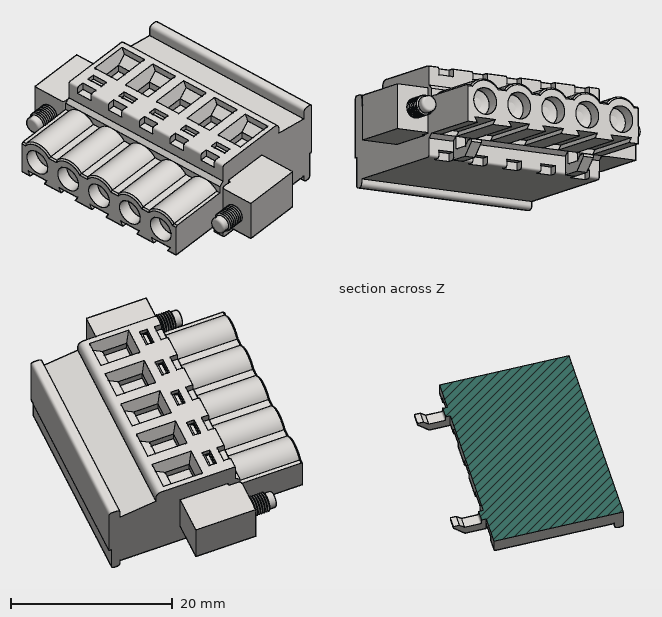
import cadquery as cq


LENGTH = 35.0
DEPTH = 26.0
HEIGHT = 12.6
POLES = 5
BODY_LENGTH = 25.0
PITCH = BODY_LENGTH / POLES
POLE_X = [(i - (POLES - 1) / 2) * PITCH for i in range(POLES)]

PLUG_TOP = 9.6
PLUG_BOTTOM = 3.92
PLUG_DEPTH = 8.4
AXIS_Z = (PLUG_TOP + PLUG_BOTTOM) / 2

FRONT_FACE = 9.0
FRONT_BEVEL_HEIGHT = 0.52
BODY_BOTTOM = 1.0
FRONT_EDGE_RADIUS = 0.3
STEP_Y = 19.7
STEP_Z = 11.02
STEP_RADIUS = 0.77
RAMP_LOW_Z = 10.25
LIP_FRONT = 24.5
LIP_TOP = 11.75
LIP_FRONT_RADIUS = 0.52
LIP_BACK_RADIUS = 0.42
LOWER_LIP_BACK = 25.7

WAVE_HALF_WIDTH = 2.0
WAVE_HEIGHT = 0.98
VALLEY_Z = PLUG_TOP - WAVE_HEIGHT
PLUG_EDGE_CHAMFER = 0.2
BORE_RADIUS = 1.68
BORE_DEPTH = 1.7
BORE_END_RADIUS = 0.75
BORE_CONE_DEPTH = 0.25
DOVETAIL_HEIGHT = 0.65
DOVETAIL_TOP_WIDTH = 2.98
DOVETAIL_MOUTH_WIDTH = 2.28

NOTCH_WIDTH = 2.15
NOTCH_SIZE = 1.0
WINDOW_FRONT = 11.0
WINDOW_BACK = WINDOW_FRONT + NOTCH_SIZE
WINDOW_LEDGE = 0.4
WINDOW_RIM = 0.15
WINDOW_DEPTH = 0.63
WINDOW_RECESS_DROP = 0.18

FUNNEL_WIDTH = 3.65
FUNNEL_FLOOR_WIDTH = 2.28
FUNNEL_FRONT = 13.15
FUNNEL_BACK = 18.4
FUNNEL_FLOOR_FRONT = 13.72
FUNNEL_FLOOR_BACK = 16.95
FUNNEL_WALL_DEPTH = 0.9
FUNNEL_FLOOR_DEPTH = 1.6
SHAFT_DEPTH = 2.6

FLANGE_BACK = 16.45
RELIEF_WIDTH = 0.3
RELIEF_BACK = 10.0
FLANGE_EDGE_RADIUS = 0.42
SCREW_X = (LENGTH + BODY_LENGTH) / 4
THREAD_RADIUS = 1.25
TIP_RADIUS = 1.05
THREAD_LENGTH = 2.52
THREAD_TURNS = 8
TIP_END_Y = 4.9
TIP_ROUNDING = 0.3

HOOK_X = 8.22
HOOK_WIDTH = 1.45
HOOK_ARM_TOP = 2.3
HOOK_TIP_TOP = 2.98
HOOK_TIP_Y = 4.8
HOOK_TIP_SIDE = 0.35
HOOK_BEND_TOP_Y = 6.23
HOOK_BEND_BOTTOM_Y = 6.3
HOOK_ROOT_RADIUS = 0.2

SELECT_MARGIN = 0.05


def box(x0, x1, y0, y1, z0, z1):
    """Box between two opposite corners."""
    return cq.Workplane("XY").box(x1 - x0, y1 - y0, z1 - z0, centered=False).translate((x0, y0, z0))


def extrude_along_x(points, width):
    """Prism from a (Y, Z) outline, centred on X = 0."""
    return cq.Workplane("YZ").polyline(points).close().extrude(width / 2, both=True)


def round_edge(solid, y, z, radius):
    """Fillet the single edge along X that passes through (y, z)."""
    return solid.edges(cq.selectors.NearestToPointSelector((0, y, z))).fillet(radius)


def make_body():
    profile = [
        (PLUG_DEPTH, PLUG_BOTTOM),
        (PLUG_DEPTH, PLUG_TOP),
        (FRONT_FACE, PLUG_TOP + FRONT_BEVEL_HEIGHT),
        (FRONT_FACE, HEIGHT),
        (STEP_Y, HEIGHT),
        (STEP_Y, STEP_Z),
        (LIP_FRONT, RAMP_LOW_Z),
        (LIP_FRONT, LIP_TOP),
        (DEPTH, LIP_TOP),
        (DEPTH, PLUG_BOTTOM),
        (LOWER_LIP_BACK, PLUG_BOTTOM),
        (LOWER_LIP_BACK, 0),
        (LIP_FRONT, 0),
        (LIP_FRONT, BODY_BOTTOM),
        (FRONT_FACE, BODY_BOTTOM),
        (FRONT_FACE, PLUG_BOTTOM - FRONT_BEVEL_HEIGHT),
    ]
    body = extrude_along_x(profile, BODY_LENGTH)
    body = round_edge(body, STEP_Y, HEIGHT, STEP_RADIUS)
    for z in (HEIGHT, BODY_BOTTOM):
        body = round_edge(body, FRONT_FACE, z, FRONT_EDGE_RADIUS)
    for back_y, z in ((DEPTH, LIP_TOP), (LOWER_LIP_BACK, 0)):
        body = round_edge(body, LIP_FRONT, z, LIP_FRONT_RADIUS)
        body = round_edge(body, back_y, z, LIP_BACK_RADIUS)
    return body


def make_plug():
    """Row of round-topped sockets, each with a stepped bore and a dovetail groove below."""
    half = BODY_LENGTH / 2
    outline = cq.Workplane("XZ").moveTo(-half, PLUG_BOTTOM).lineTo(-half, VALLEY_Z)
    for x in POLE_X:
        outline = outline.lineTo(x - WAVE_HALF_WIDTH, VALLEY_Z)
        outline = outline.threePointArc((x, PLUG_TOP), (x + WAVE_HALF_WIDTH, VALLEY_Z))
    plug = outline.lineTo(half, VALLEY_Z).lineTo(half, PLUG_BOTTOM).close().extrude(-PLUG_DEPTH)
    above_valleys = cq.selectors.BoxSelector(
        (-half, -SELECT_MARGIN, VALLEY_Z - SELECT_MARGIN),
        (half, SELECT_MARGIN, HEIGHT),
    )
    plug = plug.edges(above_valleys).chamfer(PLUG_EDGE_CHAMFER)

    bore_section = [
        (0, 0),
        (0, BORE_RADIUS),
        (BORE_DEPTH, BORE_RADIUS),
        (BORE_DEPTH + BORE_CONE_DEPTH, BORE_END_RADIUS),
        (BORE_DEPTH + BORE_CONE_DEPTH, 0),
    ]
    bore = cq.Workplane("YZ").polyline(bore_section).close().revolve(360, (0, 0), (1, 0))
    dovetail_section = [
        (-DOVETAIL_MOUTH_WIDTH / 2, PLUG_BOTTOM),
        (-DOVETAIL_TOP_WIDTH / 2, PLUG_BOTTOM + DOVETAIL_HEIGHT),
        (DOVETAIL_TOP_WIDTH / 2, PLUG_BOTTOM + DOVETAIL_HEIGHT),
        (DOVETAIL_MOUTH_WIDTH / 2, PLUG_BOTTOM),
    ]
    dovetail = cq.Workplane("XZ").polyline(dovetail_section).close().extrude(-PLUG_DEPTH)
    for x in POLE_X:
        plug = plug.cut(bore.translate((x, 0, AXIS_Z)))
        plug = plug.cut(dovetail.translate((x, 0, 0)))
    return plug


def make_screw_funnel():
    """Tapered pocket with a sloped back and a straight shaft below, for a pole at X = 0."""
    floor_z = HEIGHT - FUNNEL_FLOOR_DEPTH
    side = [
        (FUNNEL_FRONT, HEIGHT),
        (FUNNEL_BACK, HEIGHT),
        (FUNNEL_BACK, HEIGHT - FUNNEL_WALL_DEPTH),
        (FUNNEL_FLOOR_BACK, floor_z),
        (FUNNEL_FLOOR_FRONT, floor_z),
    ]
    across = [
        (-FUNNEL_WIDTH / 2, HEIGHT),
        (FUNNEL_WIDTH / 2, HEIGHT),
        (FUNNEL_FLOOR_WIDTH / 2, floor_z),
        (-FUNNEL_FLOOR_WIDTH / 2, floor_z),
    ]
    taper = cq.Workplane("XZ").polyline(across).close().extrude(-DEPTH)
    half = FUNNEL_FLOOR_WIDTH / 2
    shaft = box(-half, half, FUNNEL_FLOOR_FRONT, FUNNEL_FLOOR_BACK, HEIGHT - SHAFT_DEPTH, floor_z)
    return extrude_along_x(side, FUNNEL_WIDTH).intersect(taper).union(shaft)


def make_window():
    """Small slot in the top face, its floor holding a narrower recess that slopes down to the front."""
    half = NOTCH_WIDTH / 2
    floor_z = HEIGHT - WINDOW_DEPTH
    slot = box(-half, half, WINDOW_FRONT, WINDOW_BACK, floor_z, HEIGHT)
    recess_front = WINDOW_FRONT + WINDOW_RIM
    recess_side = [
        (recess_front, floor_z),
        (WINDOW_BACK - WINDOW_LEDGE, floor_z),
        (recess_front, floor_z - WINDOW_RECESS_DROP),
    ]
    return slot.union(extrude_along_x(recess_side, NOTCH_WIDTH - 2 * WINDOW_RIM))


def cut_pole_openings(body):
    half = NOTCH_WIDTH / 2
    notch_back = FRONT_FACE + NOTCH_SIZE
    top_notch = box(-half, half, PLUG_DEPTH, notch_back, HEIGHT - NOTCH_SIZE, HEIGHT)
    bottom_notch = box(-half, half, PLUG_DEPTH, notch_back, BODY_BOTTOM, BODY_BOTTOM + NOTCH_SIZE)
    for tool in (make_screw_funnel(), make_window(), top_notch, bottom_notch):
        for x in POLE_X:
            body = body.cut(tool.translate((x, 0, 0)))
    return body


def make_flange():
    """Block on the +X end, with a relief slot beside the body at its front."""
    inner = BODY_LENGTH / 2
    relief_edge = inner + RELIEF_WIDTH
    flange = box(inner, LENGTH / 2, PLUG_DEPTH, FLANGE_BACK, PLUG_BOTTOM, PLUG_TOP)
    flange = flange.cut(box(inner, relief_edge, PLUG_DEPTH, RELIEF_BACK, PLUG_BOTTOM, PLUG_TOP))
    front_corner = cq.selectors.NearestToPointSelector((relief_edge, PLUG_DEPTH, AXIS_Z))
    return flange.edges(front_corner).fillet(FLANGE_EDGE_RADIUS)


def make_screw():
    """Screw end pointing to -Y, its thread formed as equal V-shaped rings."""
    turn = THREAD_LENGTH / THREAD_TURNS
    section = [(0, PLUG_DEPTH), (TIP_RADIUS, PLUG_DEPTH)]
    for i in range(THREAD_TURNS):
        start_y = PLUG_DEPTH - i * turn
        section.append((THREAD_RADIUS, start_y - turn / 2))
        section.append((TIP_RADIUS, start_y - turn))
    section.append((TIP_RADIUS, TIP_END_Y))
    section.append((0, TIP_END_Y))
    screw = cq.Workplane("XY").polyline(section).close().revolve(360, (0, 0), (0, 1))
    screw = screw.faces("<Y").edges().fillet(TIP_ROUNDING)
    return screw.translate((SCREW_X, 0, AXIS_Z))


def make_hook(x):
    """Latch arm with an upturned tip."""
    profile = [
        (FRONT_FACE, BODY_BOTTOM),
        (FRONT_FACE, PLUG_BOTTOM),
        (PLUG_DEPTH, PLUG_BOTTOM),
        (PLUG_DEPTH, HOOK_ARM_TOP),
        (HOOK_BEND_TOP_Y, HOOK_ARM_TOP),
        (HOOK_BEND_TOP_Y - (HOOK_TIP_TOP - HOOK_ARM_TOP), HOOK_TIP_TOP),
        (HOOK_TIP_Y, HOOK_TIP_TOP),
        (HOOK_TIP_Y, HOOK_TIP_TOP - HOOK_TIP_SIDE),
        (HOOK_BEND_BOTTOM_Y, BODY_BOTTOM),
    ]
    hook = extrude_along_x(profile, HOOK_WIDTH)
    hook = round_edge(hook, PLUG_DEPTH, HOOK_ARM_TOP, HOOK_ROOT_RADIUS)
    return hook.translate((x, 0, 0))


result = cut_pole_openings(make_body()).union(make_plug())
end_parts = make_flange().union(make_screw())
result = result.union(end_parts).union(end_parts.mirror("YZ"))
for hook_x in (-HOOK_X, HOOK_X):
    result = result.union(make_hook(hook_x))